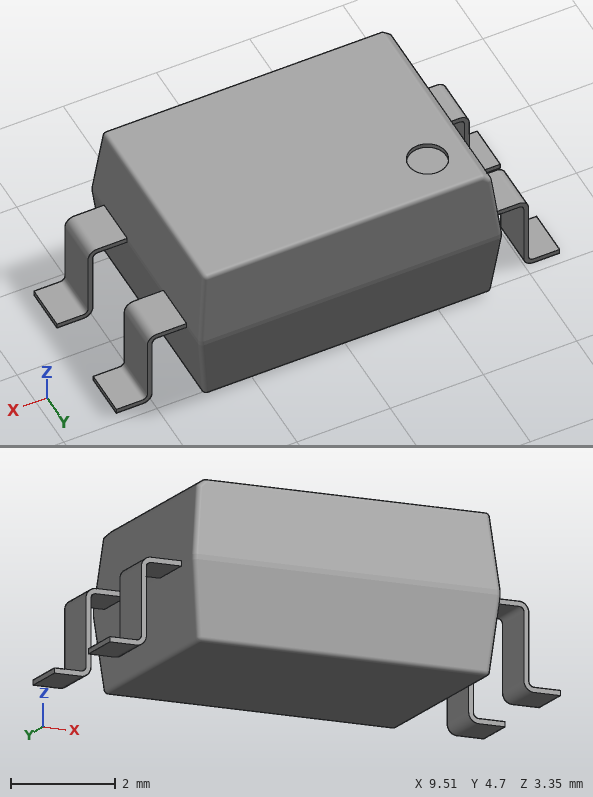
import cadquery as cq
import math

OVERALL_LENGTH = 9.51
OVERALL_HEIGHT = 3.35

LEAD_THICKNESS = 0.1
LEAD_WIDTH = 0.99
LEAD_PITCH = 2.54
FOOT_LENGTH = 0.67
BEND_INNER_RADIUS = 0.1
BEND_OUTER_RADIUS = BEND_INNER_RADIUS + LEAD_THICKNESS

BODY_LENGTH = 6.5
BODY_WIDTH = 4.7
BODY_BOTTOM = 0.1
DRAFT_ANGLE = 6.0
BELT_HEIGHT = LEAD_THICKNESS
BELT_BOTTOM = (BODY_BOTTOM + OVERALL_HEIGHT - BELT_HEIGHT) / 2
BELT_TOP = BELT_BOTTOM + BELT_HEIGHT
EDGE_RADIUS = 0.095
PIN_ONE_CHAMFER = 0.15

MARK_DIAMETER = 0.81
MARK_DEPTH = 0.095
MARK_X = -2.17
MARK_Y = LEAD_PITCH / 2


def make_body():
    """Moulded housing with drafted walls, rounded edges and an index mark."""
    half_height = OVERALL_HEIGHT - BELT_TOP
    belt = (
        cq.Workplane("XY", origin=(0, 0, BELT_BOTTOM))
        .rect(BODY_LENGTH, BODY_WIDTH)
        .extrude(BELT_HEIGHT)
    )
    upper = (
        belt.faces(">Z")
        .wires()
        .toPending()
        .extrude(half_height, taper=DRAFT_ANGLE, combine=False)
    )
    lower = upper.mirror("XY", (0, 0, BELT_BOTTOM + BELT_HEIGHT / 2))
    body = belt.union(upper).union(lower)

    body = body.faces(">Z").edges("<X").chamfer(PIN_ONE_CHAMFER)

    above_belt = cq.selectors.BoxSelector(
        (-BODY_LENGTH, -BODY_WIDTH, BELT_TOP + EDGE_RADIUS),
        (BODY_LENGTH, BODY_WIDTH, OVERALL_HEIGHT + EDGE_RADIUS),
    )
    below_belt = cq.selectors.BoxSelector(
        (-BODY_LENGTH, -BODY_WIDTH, BODY_BOTTOM - EDGE_RADIUS),
        (BODY_LENGTH, BODY_WIDTH, BELT_BOTTOM - EDGE_RADIUS),
    )
    belt_corners = cq.selectors.ParallelDirSelector(cq.Vector(0, 0, 1))
    body = body.edges(above_belt + below_belt + belt_corners).fillet(EDGE_RADIUS)

    mark = (
        cq.Workplane("XY", origin=(MARK_X, MARK_Y, OVERALL_HEIGHT - MARK_DEPTH))
        .circle(MARK_DIAMETER / 2)
        .extrude(MARK_DEPTH)
    )
    return body.cut(mark)


def make_lead(side, y):
    """One bent lead; side is -1 for the -X leads and +1 for the +X leads."""
    foot_tip = OVERALL_LENGTH / 2
    upright_outer = foot_tip - FOOT_LENGTH
    upright_inner = upright_outer - LEAD_THICKNESS
    upper_bend_x = upright_outer - BEND_OUTER_RADIUS
    upper_bend_z = BELT_TOP - BEND_OUTER_RADIUS
    foot_bend_x = upright_inner + BEND_OUTER_RADIUS
    foot_bend_z = BEND_OUTER_RADIUS
    diagonal = math.sqrt(0.5)

    def bend_middle(center_x, center_z, radius, direction):
        offset = direction * radius * diagonal
        return (side * (center_x + offset), center_z + offset)

    def point(x, z):
        return (side * x, z)

    return (
        cq.Workplane("XZ", origin=(0, y + LEAD_WIDTH / 2, 0))
        .moveTo(*point(BODY_LENGTH / 2, BELT_TOP))
        .lineTo(*point(upper_bend_x, BELT_TOP))
        .threePointArc(
            bend_middle(upper_bend_x, upper_bend_z, BEND_OUTER_RADIUS, 1),
            point(upright_outer, upper_bend_z),
        )
        .lineTo(*point(upright_outer, foot_bend_z))
        .threePointArc(
            bend_middle(foot_bend_x, foot_bend_z, BEND_INNER_RADIUS, -1),
            point(foot_bend_x, LEAD_THICKNESS),
        )
        .lineTo(*point(foot_tip, LEAD_THICKNESS))
        .lineTo(*point(foot_tip, 0))
        .lineTo(*point(foot_bend_x, 0))
        .threePointArc(
            bend_middle(foot_bend_x, foot_bend_z, BEND_OUTER_RADIUS, -1),
            point(upright_inner, foot_bend_z),
        )
        .lineTo(*point(upright_inner, upper_bend_z))
        .threePointArc(
            bend_middle(upper_bend_x, upper_bend_z, BEND_INNER_RADIUS, 1),
            point(upper_bend_x, BELT_BOTTOM),
        )
        .lineTo(*point(BODY_LENGTH / 2, BELT_BOTTOM))
        .close()
        .extrude(LEAD_WIDTH)
    )


body = make_body()
leads = [
    make_lead(side, row * LEAD_PITCH / 2)
    for side in (-1, 1)
    for row in (-1, 1)
]

result = cq.Compound.makeCompound([body.val(), *[lead.val() for lead in leads]])